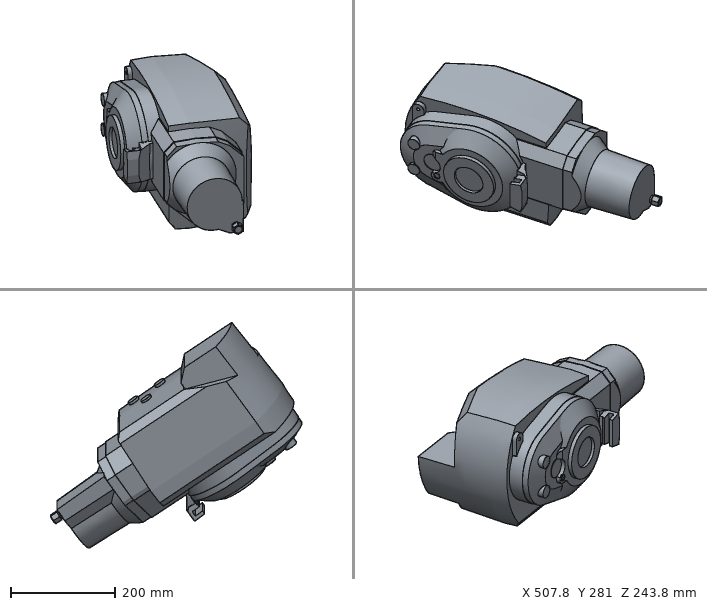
import cadquery as cq
import math


housing_draft = 2.5
housing_front = -41.3
housing_top_left = (-141.0, 103.5)
housing_top_crown = (-58.0, 108.41)
housing_top_right = (131.0, 88.0)
housing_right_bulge = (137.5, -30.0)
housing_bottom = -135.4
housing_bottom_right = 133.0
housing_bottom_left = -112.0
housing_leftmost = (-174.0, 2.0)
front_chamfer_depth = 14.5
front_chamfer_height = 19.0
rear_wall = [(117.0, 120.0), (126.5, 35.0), (128.0, 0.0), (126.5, -108.6), (110.0, -133.0)]
bevel_left = (-172.0, 77.0)
bevel_right = (-46.0, 121.0)
top_chamfer = 19.5
rear_corner_x = (118.0, 134.0)
rear_corner_y = (128.0, 112.0)

box_rear = 161.5
box_right = -33.0
box_top = -6.0
box_bottom = -111.0
box_draft = 1.3
box_corner_x = 23.0
box_corner_y = 22.0

button_radius = 11.0
button_rear = 132.0
button_places = [(24.0, 38.0), (55.0, -11.0), (85.0, 38.0)]

neck_section = [
    (-43.6, 74.7), (0.0, 77.0), (40.5, 74.7), (64.0, 63.0), (92.5, 36.0), (92.5, -65.0), (60.0, -105.5),
    (5.0, -105.5), (-3.0, -103.0), (-63.5, -47.0), (-63.5, 54.0),
]
neck_start = 68.0
neck_slant = 16.0
neck_front_top = -43.6
neck_front = -63.5
neck_end = 175.6
flange_end = 195.0
flange_inset = 1.5

bell_radius = 76.0
bell_end = 221.0
motor_radius_start = 57.7
motor_radius_end = 55.0
motor_end = 314.0
rib_start = 201.0
rib_front_top = 5.0
rib_front_bottom = 30.0
rib_rear_start = 61.0
rib_rear_end = 57.0
rib_bottom_start = -69.0
rib_bottom_end = -65.0
rib_slant_height = 12.0

connector_y = 42.0
connector_z = -50.5
connector_radius = 7.6
connector_tip = 333.82
connector_embed = 1.0
nut_start = 318.0
nut_end = 332.5
nut_corner_diameter = 21.0

cover_small_x = -84.0
cover_big_radius = 100.0
cover_small_radius = 79.0
cover_seam = -70.5
cover_lip_inset = 1.0
cover_rim = -83.0
plateau_front = -99.5
plateau_inset = 37.2
hub_front = -107.0
hub_radius = 69.0
disc_radius = 53.6
disc_front = -115.0
bore_radius = 30.6
bore_depth = 6.0

screw_x = -124.3
screw_z = 32.0
screw_radius = 12.6
screw_front = -101.5
tab_x = -72.0
tab_z = 24.4
tab_boss_radius = 12.0
port_radius = 19.4
port_depth = 1.0
boss_slope = [(-74.5, -107.0), (-86.0, -98.0), (-86.0, -107.0)]
plug_radius = 6.5
plug_depth = 3.0

lug_x = -139.6
lug_z = 76.0
lug_radius = 12.2
lug_bottom = 43.0
lug_front = -50.5
lug_hole_radius = 3.2
lug_embed = 1.0

hook_front = -119.5
arm_profile = [
    (72.0, -58.0), (98.0, -58.0), (98.0, -69.0), (116.8, -96.5), (114.4, -96.5), (107.0, -89.5),
    (91.5, -89.5), (91.5, -75.0), (80.0, -75.0), (72.0, -70.0),
]
arm_half_plan = [(72.0, 45.0), (91.0, 40.0), (113.4, 34.0), (116.8, 17.0)]
bracket_profile = [
    (80.0, -71.0), (88.0, -71.0), (114.4, -96.5), (116.8, -96.5), (116.8, hook_front), (90.5, hook_front),
    (90.5, -112.0), (107.0, -112.0), (107.0, -101.5), (90.5, -101.5), (90.5, -96.5), (92.5, -96.5),
    (91.5, -84.0), (80.0, -75.0),
]
bracket_half_plan = [(72.0, 29.0), (90.5, 29.0), (113.4, 34.0), (116.8, 17.0)]

big = 400.0
cutter_overrun = 40.0


def at_y(y):
    """Workplane in X and Z whose extrusions run forward, toward -Y."""
    return cq.Workplane("XZ", origin=(0, y, 0))


def disc_y(x, z, radius, y_rear, y_front):
    return at_y(y_rear).center(x, z).circle(radius).extrude(y_rear - y_front)


def along_x(section, x_start, x_end):
    """Prism along X from a list of (Y, Z) points."""
    return cq.Workplane("YZ", origin=(x_start, 0, 0)).polyline(section).close().extrude(x_end - x_start)


def along_z(section):
    """Tall prism along Z, centred on Z = 0, from a list of (X, Y) points."""
    return cq.Workplane("XY").polyline(section).close().extrude(big, both=True)


def housing_outline():
    return (
        at_y(0)
        .moveTo(*housing_top_left)
        .threePointArc(housing_top_crown, housing_top_right)
        .threePointArc(housing_right_bulge, (housing_bottom_right, housing_bottom))
        .lineTo(housing_bottom_left, housing_bottom)
        .threePointArc(housing_leftmost, housing_top_left)
        .close()
    )


def make_housing():
    front_half = housing_outline().extrude(-housing_front, taper=housing_draft)
    rear_half = housing_outline().extrude(box_rear, taper=housing_draft).mirror("XZ")

    chamfered_bottom = housing_bottom + front_chamfer_height
    chamfer_rear = housing_front + front_chamfer_depth
    side_section = [
        (housing_front, big), (rear_wall[0][0], big), *rear_wall, (rear_wall[-1][0], -big),
        (chamfer_rear, -big), (chamfer_rear, housing_bottom), (housing_front, chamfered_bottom),
    ]
    body = front_half.union(rear_half).intersect(along_x(side_section, -big, big)).cut(bevel_cutter())
    rear_edge_point = ((bevel_right[0] + rear_corner_x[0]) / 2, rear_wall[0][0], housing_top_crown[1])
    bevel_edge_point = (
        (bevel_left[0] + bevel_right[0]) / 2, (bevel_left[1] + bevel_right[1]) / 2, housing_top_crown[1],
    )
    top_edges = cq.selectors.SumSelector(
        cq.NearestToPointSelector(rear_edge_point), cq.NearestToPointSelector(bevel_edge_point)
    )
    body = body.edges(top_edges).chamfer(top_chamfer)
    body = body.cut(rear_corner_cutter())
    return body.union(make_box(rear_half))


def bevel_cutter():
    """Wedge behind the slanted wall at the rear left."""
    slope = (bevel_right[1] - bevel_left[1]) / (bevel_right[0] - bevel_left[0])
    rise = slope * cutter_overrun
    return along_z([
        (bevel_left[0] - cutter_overrun, bevel_left[1] - rise),
        (bevel_right[0] + cutter_overrun, bevel_right[1] + rise),
        (bevel_left[0] - cutter_overrun, bevel_right[1] + rise),
    ])


def rear_corner_cutter():
    """Wedge outside the chamfered rear right corner."""
    (x_rear, x_side), (y_rear, y_side) = rear_corner_x, rear_corner_y
    slope = (y_side - y_rear) / (x_side - x_rear)
    rise = slope * cutter_overrun
    return along_z([
        (x_rear - cutter_overrun, y_rear - rise),
        (x_side + cutter_overrun, y_side + rise),
        (x_side + cutter_overrun, y_rear - rise),
    ])


def make_box(rear_half):
    """Rear box: the drafted housing outline kept between two levels, with one corner cut off."""
    fall = box_rear * math.tan(math.radians(box_draft))
    side_section = [(0, box_top), (box_rear, box_top - fall), (box_rear, box_bottom + fall), (0, box_bottom)]
    plan = along_z([
        (-big, 0), (box_right, 0), (box_right, box_rear - box_corner_y),
        (box_right - box_corner_x, box_rear), (-big, box_rear),
    ])
    return rear_half.intersect(along_x(side_section, -big, big)).intersect(plan)


def make_buttons():
    buttons = cq.Workplane("XY")
    for x, z in button_places:
        buttons = buttons.union(disc_y(x, z, button_radius, button_rear, rear_wall[0][0]))
    return buttons


def make_neck():
    neck = along_x(neck_section, neck_start, neck_end)
    slant = along_z([
        (neck_start, neck_front_top), (neck_start, neck_front), (neck_start + neck_slant, neck_front),
    ])
    flange = (
        cq.Workplane("YZ", origin=(neck_end, 0, 0))
        .polyline(neck_section)
        .close()
        .offset2D(-flange_inset)
        .extrude(flange_end - neck_end)
    )
    return neck.cut(slant).union(flange)


def make_motor():
    profile = [
        (neck_end, 0), (neck_end, bell_radius), (flange_end, bell_radius), (bell_end, motor_radius_start),
        (motor_end, motor_radius_end), (motor_end, 0),
    ]
    motor = cq.Workplane("XY").polyline(profile).close().revolve(360, (0, 0), (1, 0))
    bell_front = neck_front + flange_inset
    motor = motor.cut(along_z([(0, bell_front), (big, bell_front), (big, -big), (0, -big)]))
    return motor.union(make_rib())


def make_rib():
    """Tapered rib under the motor with a slanted front flank."""
    def section(rear, bottom):
        return [
            (rib_front_top, 0), (rib_front_top, bottom + rib_slant_height),
            (rib_front_bottom, bottom), (rear, bottom), (rear, 0),
        ]

    return (
        cq.Workplane("YZ", origin=(rib_start, 0, 0))
        .polyline(section(rib_rear_start, rib_bottom_start))
        .close()
        .workplane(offset=motor_end - rib_start)
        .polyline(section(rib_rear_end, rib_bottom_end))
        .close()
        .loft(ruled=True)
    )


def make_connector():
    def start_at(x):
        return cq.Workplane("YZ", origin=(x, connector_y, connector_z))

    stem_start = motor_end - connector_embed
    stem = start_at(stem_start).circle(connector_radius).extrude(connector_tip - stem_start)
    nut = start_at(nut_start).transformed(rotate=(0, 0, 90)).polygon(6, nut_corner_diameter)
    return stem.union(nut.extrude(nut_end - nut_start))


def cover_outline(y, inset):
    """Two circles joined by their outer tangents."""
    big_radius = cover_big_radius - inset
    small_radius = cover_small_radius - inset
    lean = (big_radius - small_radius) / cover_small_x
    rise = math.sqrt(1 - lean**2)
    small_tangent = (cover_small_x + small_radius * lean, small_radius * rise)
    big_tangent = (big_radius * lean, big_radius * rise)
    return (
        at_y(y)
        .moveTo(*small_tangent)
        .lineTo(*big_tangent)
        .threePointArc((big_radius, 0), (big_tangent[0], -big_tangent[1]))
        .lineTo(small_tangent[0], -small_tangent[1])
        .threePointArc((cover_small_x - small_radius, 0), small_tangent)
        .close()
    )


def make_cover():
    base = cover_outline(0, 0).extrude(-cover_seam)
    lip = cover_outline(cover_seam, cover_lip_inset).extrude(cover_seam - cover_rim)
    plateau_height = cover_rim - plateau_front
    plateau_slope = math.degrees(math.atan((plateau_inset - cover_lip_inset) / plateau_height))
    plateau = cover_outline(cover_rim, cover_lip_inset).extrude(plateau_height, taper=plateau_slope)

    rim_radius = cover_big_radius - cover_lip_inset
    hub_profile = [
        (0, cover_rim), (rim_radius, cover_rim), (hub_radius, hub_front), (disc_radius, hub_front),
        (disc_radius, disc_front), (bore_radius, disc_front), (bore_radius, disc_front + bore_depth),
        (0, disc_front + bore_depth),
    ]
    hub = cq.Workplane("XY").polyline(hub_profile).close().revolve(360, (0, 0), (0, 1))
    return base.union(lip).union(plateau).union(hub).union(make_tab()).cut(make_port())


def make_tab():
    """Flat tab beside the hub with a round boss at each end."""
    half_width = tab_z + tab_boss_radius
    tab = along_x(
        [(cover_rim, half_width), (hub_front, half_width), (hub_front, -half_width), (cover_rim, -half_width)],
        tab_x, -disc_radius,
    )
    for z in (tab_z, -tab_z):
        tab = tab.union(disc_y(tab_x, z, tab_boss_radius, cover_rim, hub_front))
    slope_cut = cq.Workplane("XY").polyline(boss_slope).close().extrude(half_width)
    tab = tab.cut(slope_cut)
    return tab.cut(disc_y(tab_x, -tab_z, plug_radius, hub_front + plug_depth, hub_front))


def make_port():
    """Shallow round recess in the plateau that also trims the tab."""
    return disc_y(cover_small_x, 0, port_radius, plateau_front + port_depth, hub_front)


def make_screws():
    screws = cq.Workplane("XY")
    for z in (screw_z, -screw_z):
        screws = screws.union(disc_y(screw_x, z, screw_radius, cover_rim, screw_front))
    return screws


def make_lug():
    lug_rear = housing_front + lug_embed
    lug = (
        at_y(lug_rear)
        .moveTo(lug_x - lug_radius, lug_bottom)
        .lineTo(lug_x - lug_radius, lug_z)
        .threePointArc((lug_x, lug_z + lug_radius), (lug_x + lug_radius, lug_z))
        .lineTo(lug_x + lug_radius, lug_bottom)
        .close()
        .extrude(lug_rear - lug_front)
    )
    return lug.cut(disc_y(lug_x, lug_z, lug_hole_radius, housing_front, lug_front))


def make_hook():
    """Hook whose outer arm carries a narrower slotted bracket, symmetric about Z = 0."""
    return hook_part(arm_profile, arm_half_plan).union(hook_part(bracket_profile, bracket_half_plan))


def hook_part(profile, half_plan):
    mirrored_plan = [(x, -z) for x, z in reversed(half_plan)]
    plan = at_y(0).polyline(half_plan + mirrored_plan).close().extrude(-hook_front)
    return along_z(profile).intersect(plan)


result = make_housing()
for feature in (
    make_buttons(), make_neck(), make_motor(), make_connector(),
    make_cover(), make_screws(), make_lug(), make_hook(),
):
    result = result.union(feature)